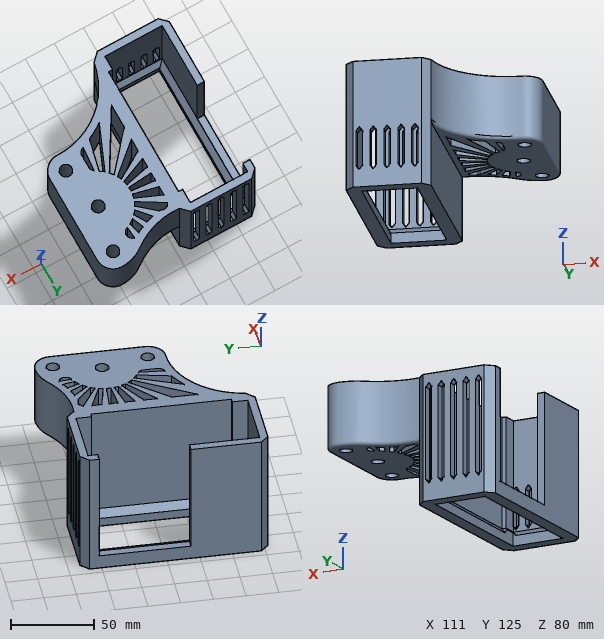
import cadquery as cq
import math

box_width = 52.0
box_length = 115.0
box_height = 80.0
wall = 5.0
corner_chamfer = 5.0
cavity_width = 39.5

lip_top = 10.0
lip_depth = 5.0
opening_x_min, opening_x_max = 9.0, 43.0
opening_y_min, opening_y_max = 8.5, 106.5

recess_x_min, recess_x_max = 25.0, 47.3
recess_y_min, recess_y_max = 14.5, 100.5

cutout_y_min, cutout_y_max = 48.0, 104.0
cutout_bottom = 9.0

slot_count = 5
slot_pitch = 8.5
slot_width = 4.0
slot_point = 2.5
slot_bottom = 11.25
near_slot_height = 27.0
far_slot_height = 63.0

bracket_right = 111.0
bracket_bottom = 40.0
bracket_bottom_fillet = 2.0
mount_x = 100.0
mount_y_low, mount_y_high = 56.0, 114.0
mount_diameter = 8.0
corner_radius = bracket_right - mount_x
shoulder_radius = 25.0
waist_radius = 48.0

hub_x = 94.0
hub_y = (mount_y_low + mount_y_high) / 2
hub_radius = 22.0
hub_hole_diameter = 8.2

ray_x = 87.0
ray_pitch = 18.0
ray_angle = 10.0
ray_count = 11
first_ray = 90.0
ray_reach = 100.0
window_rim = 5.0
window_left = 56.0
window_right = 87.0
window_fillet = 4.0
window_shoulder_x, window_shoulder_y = 60.3, 102.0
window_tip_x, window_tip_y = 84.0, 109.0
window_end_y_low, window_end_y_high = 52.4, 60.9


def circle_crossing(center_a, radius_a, center_b, radius_b):
    """Crossing point of two circles that lies to the left of the direction from a to b."""
    dx = center_b[0] - center_a[0]
    dy = center_b[1] - center_a[1]
    span = math.hypot(dx, dy)
    along = (radius_a**2 - radius_b**2 + span**2) / (2 * span)
    aside = math.sqrt(radius_a**2 - along**2)
    return (
        center_a[0] + (along * dx - aside * dy) / span,
        center_a[1] + (along * dy + aside * dx) / span,
    )


def point_towards(center, target, radius):
    """Point at the given radius from a center, in the direction of the target."""
    angle = math.atan2(target[1] - center[1], target[0] - center[0])
    return (center[0] + radius * math.cos(angle), center[1] + radius * math.sin(angle))


def arc_middle(center, radius, start, end):
    """Middle of the shorter arc from start to end."""
    chord_middle = ((start[0] + end[0]) / 2, (start[1] + end[1]) / 2)
    return point_towards(center, chord_middle, radius)


def block(x_min, x_max, y_min, y_max, z_min, z_max):
    """Axis-aligned block between the given limits."""
    size = (x_max - x_min, y_max - y_min, z_max - z_min)
    return cq.Workplane("XY").box(*size, centered=False).translate((x_min, y_min, z_min))


def cylinder(x, y, radius):
    """Vertical cylinder through the full height."""
    return cq.Workplane("XY").center(x, y).circle(radius).extrude(box_height)


def sloped_pocket(x_min, x_max, y_min, y_max):
    """Pocket with straight sides above the lip and sides that lean inwards at 45 degrees below it."""
    lip = (
        cq.Workplane("XY", origin=((x_min + x_max) / 2, (y_min + y_max) / 2, lip_top))
        .rect(x_max - x_min, y_max - y_min)
        .extrude(-lip_depth, taper=45)
    )
    return block(x_min, x_max, y_min, y_max, lip_top, box_height).union(lip)


def slot_row(y_start, height):
    """Row of vertical slots, pointed at both ends, cut through one end wall."""
    half_width = slot_width / 2
    slot_top = slot_bottom + height
    slots = cq.Workplane("XY")
    for index in range(slot_count):
        x = box_width / 2 + (index - (slot_count - 1) / 2) * slot_pitch
        outline = [
            (x, slot_bottom),
            (x + half_width, slot_bottom + slot_point),
            (x + half_width, slot_top - slot_point),
            (x, slot_top),
            (x - half_width, slot_top - slot_point),
            (x - half_width, slot_bottom + slot_point),
        ]
        slot = cq.Workplane("XZ", origin=(0, y_start, 0)).polyline(outline).close().extrude(-wall)
        slots = slots.add(slot)
    return slots.combine()


low_mount = (mount_x, mount_y_low)
high_mount = (mount_x, mount_y_high)
shoulder_center = (mount_x, mount_y_high + corner_radius - shoulder_radius)
low_root = (box_width, corner_chamfer)
high_root = (box_width, box_length - corner_chamfer)
low_waist = circle_crossing(low_mount, waist_radius + corner_radius, low_root, waist_radius)
high_waist = circle_crossing(high_root, waist_radius, shoulder_center, waist_radius + shoulder_radius)


def make_bracket():
    """Bracket plate whose concave sides blend into the rounded mounting corners."""
    shoulder_start = point_towards(shoulder_center, high_waist, shoulder_radius)
    shoulder_end = (mount_x, mount_y_high + corner_radius)
    high_side = (bracket_right, mount_y_high)
    low_side = (bracket_right, mount_y_low)
    low_corner_end = point_towards(low_mount, low_waist, corner_radius)
    plate = (
        cq.Workplane("XY", origin=(0, 0, bracket_bottom))
        .moveTo(*high_root)
        .threePointArc(arc_middle(high_waist, waist_radius, high_root, shoulder_start), shoulder_start)
        .threePointArc(
            arc_middle(shoulder_center, shoulder_radius, shoulder_start, shoulder_end), shoulder_end
        )
        .threePointArc(arc_middle(high_mount, corner_radius, shoulder_end, high_side), high_side)
        .lineTo(*low_side)
        .threePointArc(arc_middle(low_mount, corner_radius, low_side, low_corner_end), low_corner_end)
        .threePointArc(arc_middle(low_waist, waist_radius, low_corner_end, low_root), low_root)
        .close()
        .extrude(box_height - bracket_bottom)
    )
    return plate.faces("<Z").edges("not(<X)").fillet(bracket_bottom_fillet)


def make_windows():
    """Window field inside the bracket rim, kept only within the wedge-shaped rays."""
    fillet_x = window_right - window_fillet
    field = block(window_shoulder_x, fillet_x, 0, box_length, 0, box_height)
    field = field.union(block(window_left, window_shoulder_x, 0, window_shoulder_y, 0, box_height))
    for center in (low_waist, high_waist):
        field = field.cut(cylinder(*center, waist_radius + window_rim))
    field = field.cut(cylinder(hub_x, hub_y, hub_radius))

    round_ends = [
        (window_shoulder_x, window_shoulder_y),
        (window_tip_x, window_tip_y),
        (fillet_x, window_end_y_low),
        (fillet_x, window_end_y_high),
    ]
    for center in round_ends:
        field = field.union(cylinder(*center, window_fillet))
    field = field.union(block(fillet_x, window_right, window_end_y_low, window_end_y_high, 0, box_height))

    rays = cq.Workplane("XY")
    for index in range(ray_count):
        middle = first_ray + index * ray_pitch
        sides = [math.radians(middle + side * ray_angle / 2) for side in (-1, 1)]
        tips = [(ray_reach * math.cos(a), ray_reach * math.sin(a)) for a in sides]
        ray = cq.Workplane("XY", origin=(ray_x, hub_y, 0)).polyline([(0, 0), *tips]).close()
        rays = rays.add(ray.extrude(box_height))
    return field.intersect(rays.combine())


def make_holder():
    """Chamfered box and bracket with the sloped cavity, the floor opening and the side cutout."""
    box = block(0, box_width, 0, box_length, 0, box_height).edges("|Z").chamfer(corner_chamfer)
    cavity = sloped_pocket(wall, wall + cavity_width, wall, box_length - wall)
    recess = sloped_pocket(recess_x_min, recess_x_max, recess_y_min, recess_y_max)
    opening = block(opening_x_min, opening_x_max, opening_y_min, opening_y_max, 0, box_height)
    cutout = block(0, wall, cutout_y_min, cutout_y_max, cutout_bottom, box_height)
    return box.union(make_bracket()).cut(cavity).cut(recess).cut(opening).cut(cutout)


result = make_holder()

result = result.cut(slot_row(0, near_slot_height))
result = result.cut(slot_row(box_length - wall, far_slot_height))

result = result.cut(make_windows())
for mount in (low_mount, high_mount):
    result = result.cut(cylinder(*mount, mount_diameter / 2))
result = result.cut(cylinder(hub_x, hub_y, hub_hole_diameter / 2))